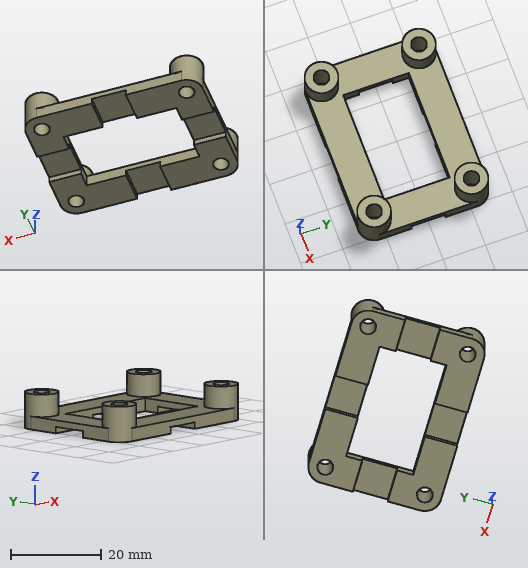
import cadquery as cq

length = 41.5
width = 30.5
height = 8.0
post_diameter = 7.5
hole_diameter = 3.5
plate_thickness = 3.0
channel_width = 8.0
channel_depth = plate_thickness / 2

rail_width = post_diameter
opening_length = length - 2 * rail_width
opening_width = width - 2 * rail_width
post_spacing_x = length - post_diameter
post_spacing_y = width - post_diameter


def make_block(size_x, size_y, size_z):
    """Centred rectangular block standing on the underside plane."""
    return cq.Workplane("XY").rect(size_x, size_y).extrude(size_z)


def make_frame():
    """Flat frame whose corners are left square-notched for the posts to round off."""
    lengthwise = make_block(length, post_spacing_y, plate_thickness)
    crosswise = make_block(post_spacing_x, width, plate_thickness)
    opening = make_block(opening_length, opening_width, plate_thickness)
    return lengthwise.union(crosswise).cut(opening)


def corner_cylinders(diameter):
    """Full-height cylinders on the four post centres."""
    return (
        cq.Workplane("XY")
        .rect(post_spacing_x, post_spacing_y, forConstruction=True)
        .vertices()
        .circle(diameter / 2)
        .extrude(height)
    )


lengthwise_channel = make_block(length, channel_width, channel_depth)
crosswise_channel = make_block(channel_width, width, channel_depth)

result = (
    make_frame()
    .union(corner_cylinders(post_diameter))
    .cut(corner_cylinders(hole_diameter))
    .cut(lengthwise_channel)
    .cut(crosswise_channel)
    .clean()
)